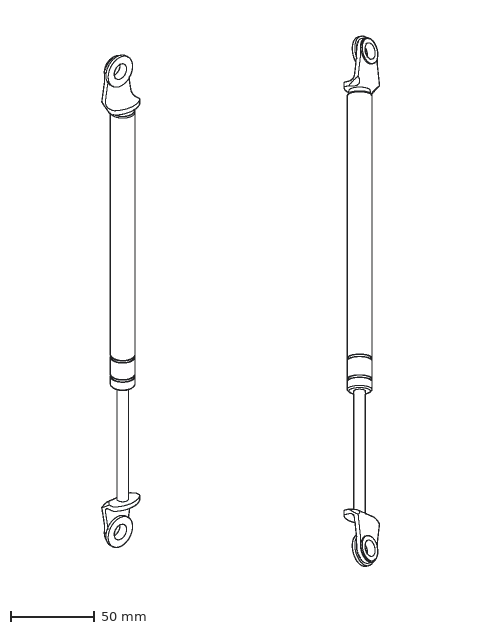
import cadquery as cq
import math


overall_length = 336.0
end_z = overall_length / 2

flange_radius = 10.0
barrel_radius = 7.8
bore_radius = 5.0
barrel_projection = 0.9
flange_thickness = 2.0
eye_z = end_z - flange_radius

sheet_thickness = 3.0
wall_outer_x = -7.0
wall_inner_x = wall_outer_x + sheet_thickness
bend_inner_radius = 3.5
bend_outer_radius = 5.0
eye_radius = 8.5
eye_flank_length = 6.0
bend_relief_length = 7.0
bend_relief_ratio = 1.6
foot_half_width = 11.0
foot_end_x = 7.5
foot_end_radius = 17.0
foot_corner_radius = 2.5
foot_to_eye = 23.5
foot_z = eye_z - foot_to_eye
bend_start_z = foot_z + bend_outer_radius

tube_radius = 7.5
tube_top_z = foot_z
tube_length = 191.0
tube_bottom_z = tube_top_z - tube_length
neck_height = 2.6
shoulder_z = tube_top_z - neck_height
shoulder_bevel_height = 0.8
shoulder_radius = 7.0
neck_radius = 6.8
neck_top_radius = 6.4
bottom_chamfer = 1.0
groove_depth = 0.5
groove_width = 1.5
groove_heights = (7.0, 20.2)

rod_radius = 3.5


def make_tube():
    """Cylinder with a bevelled shoulder, tapered neck, chamfered lower edge and shallow ring grooves."""
    tube = (
        cq.Workplane("XZ")
        .moveTo(0, tube_bottom_z)
        .lineTo(tube_radius - bottom_chamfer, tube_bottom_z)
        .lineTo(tube_radius, tube_bottom_z + bottom_chamfer)
        .lineTo(tube_radius, shoulder_z - shoulder_bevel_height)
        .lineTo(shoulder_radius, shoulder_z)
        .lineTo(neck_radius, shoulder_z)
        .lineTo(neck_top_radius, tube_top_z)
        .lineTo(0, tube_top_z)
        .close()
        .revolve(360, (0, 0, 0), (0, 1, 0))
    )
    for height in groove_heights:
        groove_bottom_z = tube_bottom_z + height - groove_width / 2
        groove = (
            cq.Workplane("XY", origin=(0, 0, groove_bottom_z))
            .circle(tube_radius + groove_depth)
            .circle(tube_radius - groove_depth)
            .extrude(groove_width)
        )
        tube = tube.cut(groove)
    return tube


def make_rod():
    """Plain rod from the tube's lower face to the lower bracket's foot."""
    return (
        cq.Workplane("XY", origin=(0, 0, -foot_z))
        .circle(rod_radius)
        .extrude(tube_bottom_z + foot_z)
    )


def make_bend_relief(side):
    """Wedge that bevels the outside of the bend at one of its two ends (side is -1 or 1 along Y)."""
    depth = bend_outer_radius
    bend_chord = cq.Plane(
        origin=(wall_outer_x, 0, bend_start_z),
        xDir=(-bend_outer_radius, 0, -bend_relief_length),
        normal=(bend_relief_length, 0, -bend_outer_radius),
    )
    return (
        cq.Workplane(bend_chord)
        .moveTo(0, side * foot_half_width)
        .lineTo(depth, side * foot_half_width)
        .lineTo(depth, side * (foot_half_width - bend_relief_ratio * depth))
        .close()
        .extrude(math.hypot(bend_relief_length, bend_outer_radius))
    )


def make_upper_bracket():
    """Z-up bracket: a foot across the tube end, bent up into a tapered wall with a round eye."""
    strip = (
        cq.Workplane("XZ")
        .moveTo(foot_end_x, foot_z)
        .lineTo(wall_outer_x + bend_outer_radius, foot_z)
        .radiusArc((wall_outer_x, bend_start_z), bend_outer_radius)
        .lineTo(wall_outer_x, end_z)
        .lineTo(wall_inner_x, end_z)
        .lineTo(wall_inner_x, foot_z + sheet_thickness + bend_inner_radius)
        .radiusArc((wall_inner_x + bend_inner_radius, foot_z + sheet_thickness), -bend_inner_radius)
        .lineTo(foot_end_x, foot_z + sheet_thickness)
        .close()
        .extrude(foot_half_width, both=True)
    )

    flank_end_z = eye_z - eye_flank_length
    wall_outline = (
        cq.Workplane("YZ", origin=(wall_outer_x, 0, 0))
        .moveTo(-foot_half_width, foot_z)
        .lineTo(foot_half_width, foot_z)
        .lineTo(foot_half_width, foot_z + sheet_thickness)
        .lineTo(eye_radius, flank_end_z)
        .lineTo(eye_radius, eye_z)
        .threePointArc((0, eye_z + eye_radius), (-eye_radius, eye_z))
        .lineTo(-eye_radius, flank_end_z)
        .lineTo(-foot_half_width, foot_z + sheet_thickness)
        .close()
        .extrude(foot_end_x - wall_outer_x)
    )

    bow = foot_end_radius - math.sqrt(foot_end_radius**2 - foot_half_width**2)
    corner_x = foot_end_x - bow
    foot_outline = (
        cq.Workplane("XY", origin=(0, 0, foot_z))
        .moveTo(wall_outer_x, -foot_half_width)
        .lineTo(corner_x, -foot_half_width)
        .threePointArc((foot_end_x, 0), (corner_x, foot_half_width))
        .lineTo(wall_outer_x, foot_half_width)
        .close()
        .extrude(end_z - foot_z)
        .edges("|Z and (not <X)")
        .fillet(foot_corner_radius)
    )

    eye_hole = (
        cq.Workplane("YZ", origin=(wall_outer_x, 0, eye_z))
        .circle(barrel_radius)
        .extrude(sheet_thickness)
    )
    bracket = strip.intersect(wall_outline).intersect(foot_outline).cut(eye_hole)
    for side in (-1, 1):
        bracket = bracket.cut(make_bend_relief(side))
    return bracket


def make_upper_bushing():
    """Barrel through the bracket eye, with a flange against the wall's inner face."""
    barrel_start_x = wall_outer_x - barrel_projection
    barrel = (
        cq.Workplane("YZ", origin=(barrel_start_x, 0, eye_z))
        .circle(barrel_radius)
        .extrude(wall_inner_x - barrel_start_x)
    )
    flange = (
        cq.Workplane("YZ", origin=(wall_inner_x, 0, eye_z))
        .circle(flange_radius)
        .extrude(flange_thickness)
    )
    bore = (
        cq.Workplane("YZ", origin=(barrel_start_x, 0, eye_z))
        .circle(bore_radius)
        .extrude(wall_inner_x + flange_thickness - barrel_start_x)
    )
    return barrel.union(flange).cut(bore)


tube = make_tube()
rod = make_rod()

end_fittings = []
for fitting in (make_upper_bracket(), make_upper_bushing()):
    end_fittings.append(fitting.val())
    end_fittings.append(fitting.mirror("XY").val())

result = cq.Compound.makeCompound([tube.val(), rod.val(), *end_fittings])